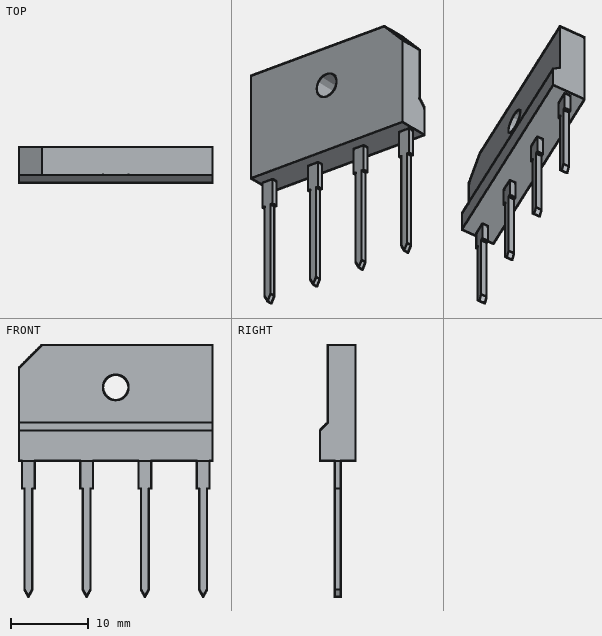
import cadquery as cq

body_width = 25.0
body_depth = 4.6
total_height = 32.5

body_height = 14.95
plate_depth = 3.6
foot_height = 3.93
step_depth = body_depth - plate_depth
slope_top = foot_height + step_depth
corner_chamfer = 3.0

hole_diameter = 3.25
hole_below_top = 5.5

lead_count = 4
lead_pitch = 7.5
lead_thickness = 0.8
shoulder_width = 1.7
shoulder_length = 3.58
lead_width = 1.0
tip_length = 0.95
lead_length = total_height - body_height

front_y = -body_depth / 2
back_y = body_depth / 2
plate_front_y = back_y - plate_depth


def make_body():
    """Stepped section along X, with one top corner cut off."""
    body = (
        cq.Workplane("YZ")
        .moveTo(back_y, 0)
        .lineTo(back_y, body_height)
        .lineTo(plate_front_y, body_height)
        .lineTo(plate_front_y, slope_top)
        .lineTo(front_y, foot_height)
        .lineTo(front_y, 0)
        .close()
        .extrude(body_width / 2, both=True)
    )
    return body.edges("|Y").edges("<X and >Z").chamfer(corner_chamfer)


def make_hole():
    """Cutter for the mounting hole, running right through the depth."""
    return (
        cq.Workplane("XZ")
        .center(0, body_height - hole_below_top)
        .circle(hole_diameter / 2)
        .extrude(body_depth, both=True)
    )


def make_lead(center_x):
    """Flat lead with a wide shoulder at the body and a pointed tip."""
    half_shoulder = shoulder_width / 2
    half_lead = lead_width / 2
    tip_start = tip_length - lead_length
    return (
        cq.Workplane("XZ")
        .center(center_x, 0)
        .moveTo(-half_shoulder, 0)
        .lineTo(-half_shoulder, -shoulder_length)
        .lineTo(-half_lead, -shoulder_length)
        .lineTo(-half_lead, tip_start)
        .lineTo(0, -lead_length)
        .lineTo(half_lead, tip_start)
        .lineTo(half_lead, -shoulder_length)
        .lineTo(half_shoulder, -shoulder_length)
        .lineTo(half_shoulder, 0)
        .close()
        .extrude(lead_thickness / 2, both=True)
    )


result = make_body().cut(make_hole())
for index in range(lead_count):
    lead_x = (index - (lead_count - 1) / 2) * lead_pitch
    result = result.union(make_lead(lead_x))